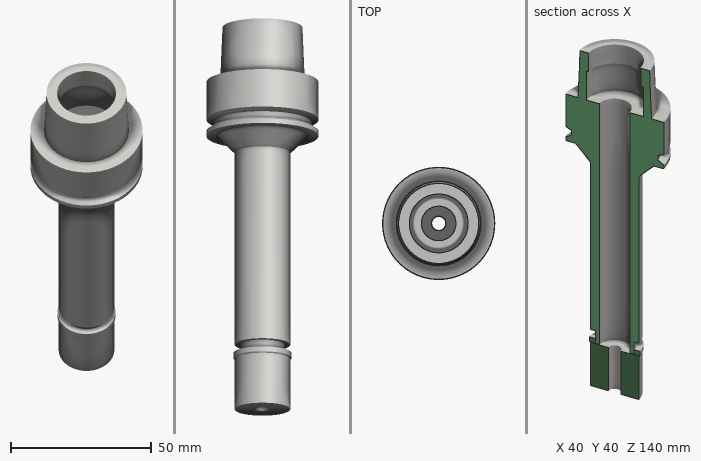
import cadquery as cq

total_height = 140.0
collar_top = 120.0
collar_edge = 106.3
groove_top = 105.1
groove_bottom = 103.3
flange_edge = 101.9
flange_bottom = 100.2
shaft_top = 94.1
shaft_bottom = 23.7
ring_top = 20.6
sleeve_top = 18.3

collar_radius = 20.0
taper_tip_radius = 14.3
taper_base_radius = 15.1
groove_radius = 17.6
cone_top_radius = 16.0
shaft_radius = 10.0
neck_radius = 8.0
ring_radius = 10.4
ring_chamfer = 0.4

mouth_radius = 10.5
mouth_depth = 8.0
recess_radius = 11.5
recess_floor = collar_top
holder_bore_radius = 6.2
sleeve_bore_radius = 2.5


def cylinder(radius, bottom, top):
    """Solid cylinder about the Z axis between two heights."""
    return cq.Workplane("XY").workplane(offset=bottom).circle(radius).extrude(top - bottom)


def make_holder():
    """Taper, grooved collar, shaft and neck, turned about Z and bored from above."""
    outline = [
        (0, sleeve_top),
        (neck_radius, sleeve_top),
        (neck_radius, shaft_bottom),
        (shaft_radius, shaft_bottom),
        (shaft_radius, shaft_top),
        (cone_top_radius, flange_bottom),
        (collar_radius, flange_bottom),
        (collar_radius, flange_edge),
        (groove_radius, groove_bottom),
        (groove_radius, groove_top),
        (collar_radius, collar_edge),
        (collar_radius, collar_top),
        (taper_base_radius, collar_top),
        (taper_tip_radius, total_height),
        (0, total_height),
    ]
    body = cq.Workplane("XZ").polyline(outline).close().revolve(360, (0, 0), (0, 1))
    mouth_bottom = total_height - mouth_depth
    mouth = cylinder(mouth_radius, mouth_bottom, total_height)
    recess = cylinder(recess_radius, recess_floor, mouth_bottom)
    bore = cylinder(holder_bore_radius, sleeve_top, recess_floor)
    return body.cut(mouth).cut(recess).cut(bore)


def make_ring():
    """Ring around the neck, resting on the sleeve, chamfered at its lower edge."""
    disc = cylinder(ring_radius, sleeve_top, ring_top).faces("<Z").edges().chamfer(ring_chamfer)
    return disc.cut(cylinder(neck_radius, sleeve_top, ring_top))


def make_sleeve():
    """Bored cylinder below the neck and the ring."""
    bore = cylinder(sleeve_bore_radius, 0, sleeve_top)
    return cylinder(shaft_radius, 0, sleeve_top).cut(bore)


holder = make_holder()
ring = make_ring()
sleeve = make_sleeve()

result = cq.Compound.makeCompound([holder.val(), ring.val(), sleeve.val()])